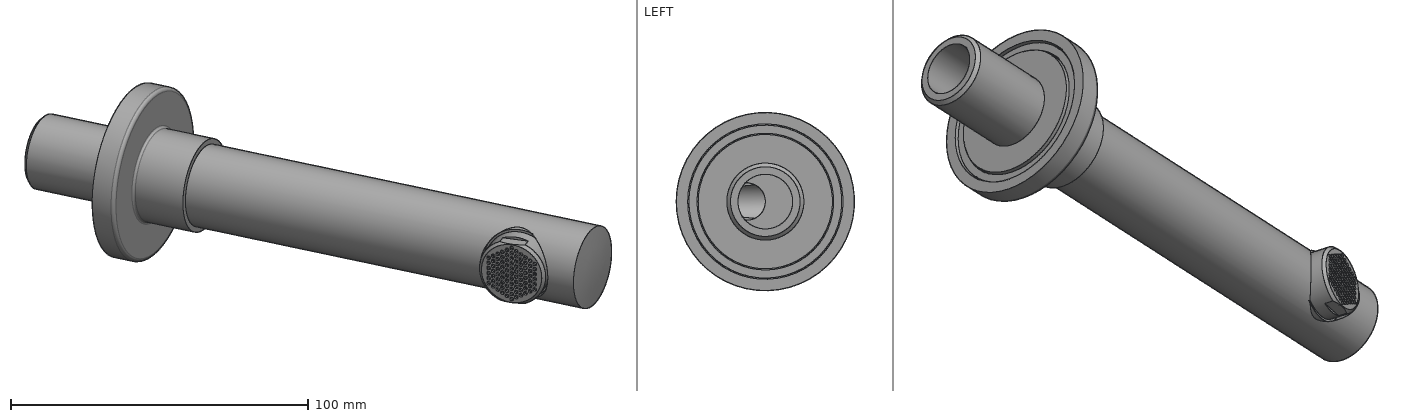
import cadquery as cq
import math


PIPE_RADIUS = 13.0
PIPE_BORE_RADIUS = 9.2
PIPE_LENGTH = 50.2
PIPE_END_CHAMFER = 1.3

FLANGE_DIAMETER = 60.0
FLANGE_RADIUS = FLANGE_DIAMETER / 2
FLANGE_BACK_X = 34.7
FLANGE_THICKNESS = 8.4
FLANGE_FRONT_X = FLANGE_BACK_X + FLANGE_THICKNESS
FLANGE_EDGE_FILLET = 1.3

COLLAR_RADIUS = 16.0
COLLAR_END_X = 61.9
COLLAR_ROOT_FILLET = 0.8

GROOVE_INNER_RADIUS = 22.5
GROOVE_OUTER_RADIUS = 26.1
GROOVE_DEPTH = 3.8
GASKET_GAP = 0.5
GASKET_RECESS = 1.0

TUBE_RADIUS = 14.2
TUBE_START_X = PIPE_LENGTH
TUBE_END_X = 209.0
DOME_RISE = 0.8
CHANNEL_RADIUS = 6.3
CHANNEL_OFFSET_Y = 6.3

OUTLET_X = 186.2
OUTLET_Y = -17.0
OUTLET_TILT = 9.0
AERATOR_RADIUS = 11.7
AERATOR_BASE_RADIUS = 12.5
AERATOR_LENGTH = 12.5
AERATOR_HEAD_LENGTH = 8.5
AERATOR_BORE_RADIUS = 10.5
RIM_CHAMFER = 1.0
FLAT_WIDTH = 9.0
FLAT_LENGTH = 4.2
SCREEN_THICKNESS = 1.0
SCREEN_HOLE_RADIUS = 0.6
SCREEN_PITCH = 1.9
SCREEN_RADIUS = 10.2

CHAMBER_RADIUS = 6.5
CHAMBER_LENGTH = 13.8

tilt = math.radians(OUTLET_TILT)
OUTLET_PLANE = cq.Plane(
    origin=(OUTLET_X, OUTLET_Y, 0),
    xDir=(0, 0, 1),
    normal=(-math.sin(tilt), math.cos(tilt), 0),
)


def rod(radius, start_x, end_x, center_y=0.0):
    """Cylinder along X."""
    plane = cq.Plane(origin=(start_x, center_y, 0), xDir=(0, 1, 0), normal=(1, 0, 0))
    return cq.Workplane(plane).circle(radius).extrude(end_x - start_x)


def outlet_cylinder(radius, depth, length):
    """Cylinder on the tilted outlet axis, starting at a depth behind the outlet face."""
    return cq.Workplane(OUTLET_PLANE).workplane(offset=depth).circle(radius).extrude(length)


def make_pipe():
    pipe = rod(PIPE_RADIUS, 0, PIPE_LENGTH).faces("<X").edges().chamfer(PIPE_END_CHAMFER)
    return pipe.cut(rod(PIPE_BORE_RADIUS, 0, PIPE_LENGTH))


def ring(inner_radius, outer_radius, start_x, end_x):
    """Flat ring around the X axis."""
    return rod(outer_radius, start_x, end_x).cut(rod(inner_radius, start_x, end_x))


def make_flange():
    """Flange and collar in one piece, bored for the pipe and, further on, for the tube."""
    flange = rod(FLANGE_RADIUS, FLANGE_BACK_X, FLANGE_FRONT_X)
    flange = flange.union(rod(COLLAR_RADIUS, FLANGE_BACK_X, COLLAR_END_X))
    collar_circles = cq.selectors.RadiusNthSelector(0)
    flange = flange.edges(collar_circles).edges("<X").fillet(COLLAR_ROOT_FILLET)
    flange_circles = cq.selectors.RadiusNthSelector(-1)
    flange = flange.edges(flange_circles).edges(">X").fillet(FLANGE_EDGE_FILLET)
    groove = ring(
        GROOVE_INNER_RADIUS, GROOVE_OUTER_RADIUS, FLANGE_BACK_X, FLANGE_BACK_X + GROOVE_DEPTH
    )
    pipe_hole = rod(PIPE_RADIUS, FLANGE_BACK_X, PIPE_LENGTH)
    tube_hole = rod(TUBE_RADIUS, TUBE_START_X, COLLAR_END_X)
    return flange.cut(groove).cut(pipe_hole).cut(tube_hole)


def make_gasket():
    return ring(
        GROOVE_INNER_RADIUS + GASKET_GAP,
        GROOVE_OUTER_RADIUS - GASKET_GAP,
        FLANGE_BACK_X + GASKET_RECESS,
        FLANGE_BACK_X + GROOVE_DEPTH,
    )


def make_tube():
    rim_x = TUBE_END_X - DOME_RISE
    dome_radius = (TUBE_RADIUS**2 + DOME_RISE**2) / (2 * DOME_RISE)
    half_angle = math.asin(TUBE_RADIUS / dome_radius) / 2
    dome_middle = (
        TUBE_END_X - dome_radius * (1 - math.cos(half_angle)),
        dome_radius * math.sin(half_angle),
    )
    tube = (
        cq.Workplane("XY")
        .moveTo(TUBE_START_X, 0)
        .lineTo(TUBE_START_X, TUBE_RADIUS)
        .lineTo(rim_x, TUBE_RADIUS)
        .threePointArc(dome_middle, (TUBE_END_X, 0))
        .close()
        .revolve(360, (0, 0, 0), (1, 0, 0))
    )
    seat = outlet_cylinder(AERATOR_BASE_RADIUS, 0, AERATOR_LENGTH)
    chamber = outlet_cylinder(CHAMBER_RADIUS, AERATOR_LENGTH, CHAMBER_LENGTH)
    channel = rod(CHANNEL_RADIUS, TUBE_START_X, OUTLET_X, CHANNEL_OFFSET_Y)
    return tube.cut(seat).cut(chamber).cut(channel)


def cut_rim_flats(aerator):
    """Two wrench flats on opposite sides of the rim."""
    flat_distance = math.sqrt(AERATOR_RADIUS**2 - (FLAT_WIDTH / 2) ** 2)
    for side in (-1, 1):
        block = (
            cq.Workplane(OUTLET_PLANE)
            .center(side * (flat_distance + AERATOR_RADIUS / 2), 0)
            .rect(AERATOR_RADIUS, 2 * AERATOR_RADIUS)
            .extrude(FLAT_LENGTH)
        )
        aerator = aerator.cut(block)
    return aerator


def screen_points():
    """Centres of the screen holes: a triangular lattice inside a circle."""
    row_spacing = SCREEN_PITCH * math.sqrt(3) / 2
    count = math.ceil(SCREEN_RADIUS / row_spacing)
    limit = SCREEN_RADIUS - SCREEN_HOLE_RADIUS
    points = []
    for row in range(-count, count + 1):
        shift = SCREEN_PITCH / 2 * (row % 2)
        for step in range(-count - 1, count + 2):
            point = (step * SCREEN_PITCH + shift, row * row_spacing)
            if math.hypot(*point) <= limit:
                points.append(point)
    return points


def make_aerator():
    head = outlet_cylinder(AERATOR_RADIUS, 0, AERATOR_HEAD_LENGTH)
    head = cut_rim_flats(head.faces("<Y").edges().chamfer(RIM_CHAMFER))
    base_length = AERATOR_LENGTH - AERATOR_HEAD_LENGTH
    base = outlet_cylinder(AERATOR_BASE_RADIUS, AERATOR_HEAD_LENGTH, base_length)
    bore = outlet_cylinder(AERATOR_BORE_RADIUS, 0, AERATOR_LENGTH)
    screen = (
        cq.Workplane(OUTLET_PLANE)
        .circle(AERATOR_BORE_RADIUS)
        .pushPoints(screen_points())
        .circle(SCREEN_HOLE_RADIUS)
        .extrude(SCREEN_THICKNESS)
    )
    return head.union(base).cut(bore).union(screen)


pipe = make_pipe()
flange = make_flange()
gasket = make_gasket()
tube = make_tube()
aerator = make_aerator()

result = cq.Compound.makeCompound(
    [pipe.val(), flange.val(), gasket.val(), tube.val(), aerator.val()]
)